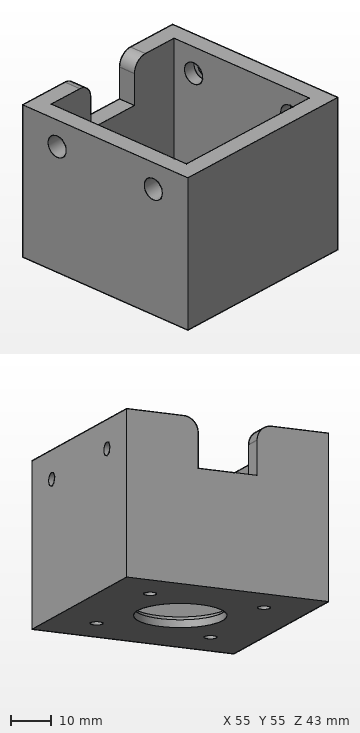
import cadquery as cq

outer_side = 55.0
height = 43.0
wall = 5.0
floor_thickness = 3.0
cavity_side = outer_side - 2 * wall

boss_hole_diameter = 23.0
boss_hole_chamfer = 1.0
motor_screw_diameter = 3.2
motor_screw_spacing = 31.0

side_screw_diameter = 3.4
side_head_diameter = 6.0
side_head_depth = 3.5
side_screw_spacing = 32.0
side_screw_drop = 7.5
side_screw_height = height - side_screw_drop

notch_width = 16.0
notch_depth = 13.0
notch_lip_radius = 4.0


def make_shell():
    body = cq.Workplane("XY").box(outer_side, outer_side, height, centered=(True, True, False))
    cavity = (
        cq.Workplane("XY", origin=(0, 0, floor_thickness))
        .rect(cavity_side, cavity_side)
        .extrude(height - floor_thickness)
    )
    return body.cut(cavity)


def cut_motor_holes(body):
    boss_radius = boss_hole_diameter / 2
    boss_hole = cq.Workplane("XY").circle(boss_radius).extrude(floor_thickness)
    chamfer = cq.Solid.makeCone(
        boss_radius,
        boss_radius + boss_hole_chamfer,
        boss_hole_chamfer,
        pnt=cq.Vector(0, 0, floor_thickness - boss_hole_chamfer),
    )
    screws = (
        cq.Workplane("XY")
        .rect(motor_screw_spacing, motor_screw_spacing, forConstruction=True)
        .vertices()
        .circle(motor_screw_diameter / 2)
        .extrude(floor_thickness)
    )
    return body.cut(boss_hole).cut(cq.Workplane(chamfer)).cut(screws)


def cut_side_screws(body):
    head_bore_length = wall + cavity_side + side_head_depth
    entry_face = cq.Workplane("XZ", origin=(0, -outer_side / 2, side_screw_height))
    axes = entry_face.pushPoints([(-side_screw_spacing / 2, 0), (side_screw_spacing / 2, 0)])
    head_bores = axes.circle(side_head_diameter / 2).extrude(-head_bore_length)
    screw_holes = axes.circle(side_screw_diameter / 2).extrude(-outer_side)
    return body.cut(head_bores).cut(screw_holes)


def cut_cable_notch(body):
    half = notch_width / 2
    bottom = height - notch_depth
    lip_start = height - notch_lip_radius
    notch = (
        cq.Workplane("YZ", origin=(-outer_side / 2, 0, 0))
        .moveTo(-half, bottom)
        .lineTo(half, bottom)
        .lineTo(half, lip_start)
        .radiusArc((half + notch_lip_radius, height), notch_lip_radius)
        .lineTo(-half - notch_lip_radius, height)
        .radiusArc((-half, lip_start), notch_lip_radius)
        .close()
        .extrude(wall)
    )
    return body.cut(notch)


result = cut_cable_notch(cut_side_screws(cut_motor_holes(make_shell())))